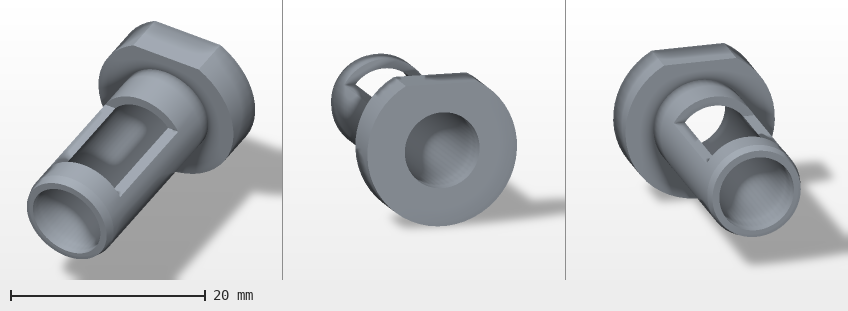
import cadquery as cq
import math

total_length = 25.0
flange_diameter = 16.0
flange_thickness = 4.5
flat_height = 7.0
tube_diameter = 10.0
bore_diameter = 8.0

taper_length = 1.0
taper_angle = 15.0
taper_depth = taper_length * math.tan(math.radians(taper_angle))

window_floor = tube_diameter / 4
window_length = 12.0
flange_to_window = 5.0


def cylinder_along_y(diameter, length):
    """Cylinder about the Y axis, from Y = 0 toward +Y."""
    return cq.Workplane("XZ").circle(diameter / 2).extrude(-length)


def make_flange():
    """Round flange with one flat on its top side."""
    flange_start = total_length - flange_thickness
    disc = cylinder_along_y(flange_diameter, flange_thickness)
    flat_cutter = cq.Workplane("XY").box(
        flange_diameter, flange_thickness, flange_diameter, centered=(True, False, False)
    ).translate((0, 0, flat_height))
    return disc.cut(flat_cutter).translate((0, flange_start, 0))


def make_tube():
    """Solid tube body with a tapered free end."""
    return cylinder_along_y(tube_diameter, total_length).faces("<Y").chamfer(taper_length, taper_depth)


def make_window():
    """Cutter that opens the top of the tube into the bore."""
    window_start = total_length - flange_thickness - flange_to_window - window_length
    return cq.Workplane("XY").box(
        tube_diameter, window_length, tube_diameter, centered=(True, False, False)
    ).translate((0, window_start, window_floor))


bore = cylinder_along_y(bore_diameter, total_length)
result = make_tube().union(make_flange()).cut(bore).cut(make_window())